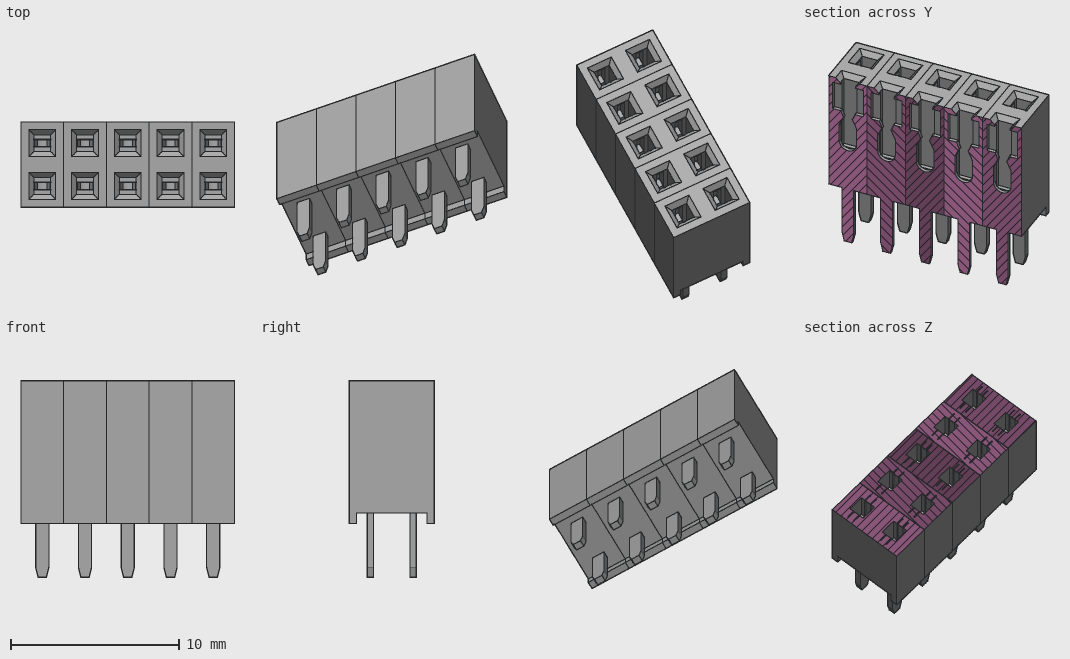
import cadquery as cq
import math

pitch = 2.54
segment_count = 5
row_count = 2
housing_height = 8.5
housing_depth = row_count * pitch
row_positions = [(0, (row - (row_count - 1) / 2) * pitch, 0) for row in range(row_count)]

foot_thickness = 0.45
foot_height = 0.62

cavity_width = 1.0
funnel_depth = 0.3
funnel_width = cavity_width + 2 * funnel_depth
funnel_bottom = housing_height - funnel_depth
well_floor = 3.5

contact_thickness = 0.4
slot_half_width = 1.0
slot_depth_below_funnel = 0.13
slot_thickness = 0.47
slot_floor = 2.5
slot_top = funnel_bottom - slot_depth_below_funnel

tine_top = 6.2
lead_in_half_width = 0.46
throat_half_width = 0.28
lead_in_angle = 68
throat_height = tine_top - (lead_in_half_width - throat_half_width) * math.tan(math.radians(lead_in_angle))
root_radius = 0.56
root_center = 4.0
relief_height = 0.6
relief_top = throat_height - relief_height

tail_width = 0.8
tail_length = 3.2
tip_width = 0.5
tip_height = 0.6


def extrude_across_thickness(profile):
    """Extrude an XZ profile by the contact thickness, centred on Y = 0."""
    return profile.close().extrude(contact_thickness / 2, both=True)


def make_cavity():
    """Funnel, square well and contact slot of one position, as the volume to remove."""
    funnel = (
        cq.Workplane("XY", origin=(0, 0, funnel_bottom))
        .rect(cavity_width, cavity_width)
        .workplane(offset=funnel_depth)
        .rect(funnel_width, funnel_width)
        .loft(ruled=True)
    )
    well = cq.Workplane("XY", origin=(0, 0, well_floor)).rect(cavity_width, cavity_width)
    slot = cq.Workplane("XY", origin=(0, 0, slot_floor)).rect(2 * slot_half_width, slot_thickness)
    return (
        funnel
        .union(well.extrude(funnel_bottom - well_floor))
        .union(slot.extrude(slot_top - slot_floor))
    )


def make_fork():
    """Two tines as wide as the slot, with the mating gap between them."""
    return extrude_across_thickness(
        cq.Workplane("XZ")
        .moveTo(-slot_half_width, slot_floor)
        .lineTo(-slot_half_width, tine_top)
        .lineTo(-lead_in_half_width, tine_top)
        .lineTo(-throat_half_width, throat_height)
        .lineTo(-root_radius, relief_top)
        .lineTo(-root_radius, root_center)
        .threePointArc((0, root_center - root_radius), (root_radius, root_center))
        .lineTo(root_radius, relief_top)
        .lineTo(throat_half_width, throat_height)
        .lineTo(lead_in_half_width, tine_top)
        .lineTo(slot_half_width, tine_top)
        .lineTo(slot_half_width, slot_floor)
    )


def make_tail():
    """Solder tail running from the channel ceiling down to its tapered tip."""
    return extrude_across_thickness(
        cq.Workplane("XZ")
        .moveTo(-tail_width / 2, foot_height)
        .lineTo(tail_width / 2, foot_height)
        .lineTo(tail_width / 2, tip_height - tail_length)
        .lineTo(tip_width / 2, -tail_length)
        .lineTo(-tip_width / 2, -tail_length)
        .lineTo(-tail_width / 2, tip_height - tail_length)
    )


def make_segment(x_center):
    """One housing segment with its two contacts, as a single solid."""
    segment = cq.Workplane("XY").box(pitch, housing_depth, housing_height, centered=(True, True, False))
    channel = cq.Workplane("XY").box(
        pitch, housing_depth - 2 * foot_thickness, foot_height, centered=(True, True, False)
    )
    segment = segment.cut(channel)
    for position in row_positions:
        segment = segment.cut(make_cavity().translate(position))
        segment = segment.union(make_fork().translate(position))
        segment = segment.union(make_tail().translate(position))
    return segment.translate((x_center, 0, 0))


segments = [
    make_segment((index - (segment_count - 1) / 2) * pitch)
    for index in range(segment_count)
]

result = cq.Compound.makeCompound([segment.val() for segment in segments])